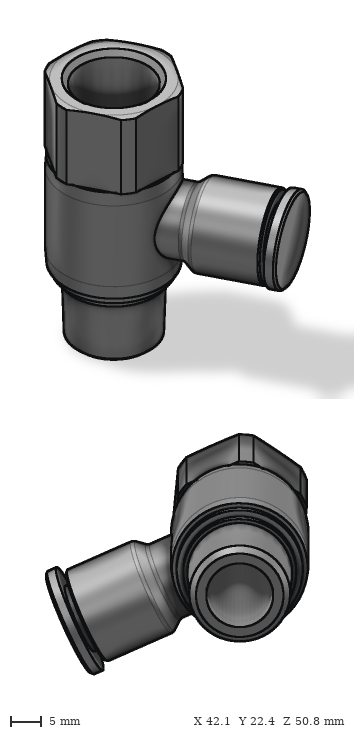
import cadquery as cq
import math

total_height = 50.8
total_length = 42.1
hex_height = 15.0
taper_band = 2.5
step_height = 1.4

hex_bottom = total_height - hex_height
body_bottom = 14.85
upper_step_bottom = body_bottom - step_height
lower_step_bottom = upper_step_bottom - step_height

hex_across_flats = 21.05
hex_corner_radius = 23.0 / 2
hex_top_radius = 10.45
hex_chamfer_drop = 0.3

body_radius = 22.4 / 2
body_end_radius = 11.0
upper_step_radius = 10.25
lower_step_radius = 9.2

thread_taper = 1 / 32
thread_top_radius = 8.55
thread_tip_radius = 7.1
thread_tip_height = 0.95
thread_bottom_radius = thread_top_radius - (lower_step_bottom - thread_tip_height) * thread_taper

socket_mouth_radius = 8.5
socket_top_radius = 7.45
socket_depth = 14.2
socket_chamfer = socket_mouth_radius - socket_top_radius
socket_bottom_radius = socket_top_radius - (socket_depth - socket_chamfer) * thread_taper
bore_radius = 5.45

branch_height = 25.3
branch_neck_radius = 6.55
branch_radius = 16.3 / 2
cone_start = 13.5
cone_end = 15.5
cone_fillet = 1.0
sleeve_end = 27.5
sleeve_edge_chamfer = 0.3

ring_radius = 5.85
flange_start = 28.65
flange_end = total_length - hex_corner_radius
flange_half_width = 9.3
flange_half_height = 8.05
flange_edge_chamfer = 0.4


def revolve_about_z(points):
    """Solid of revolution from (radius, height) points."""
    return cq.Workplane("XZ").polyline(points).close().revolve(360, (0, 0, 0), (0, 1, 0))


def make_hex_head():
    """Hexagon with flats facing +Y and -Y, its corners turned round and its top bevelled."""
    corner_diameter = hex_across_flats / math.cos(math.pi / 6)
    prism = cq.Workplane("XY").workplane(offset=hex_bottom).polygon(6, corner_diameter).extrude(hex_height)
    turned_envelope = revolve_about_z([
        (0, hex_bottom),
        (hex_corner_radius, hex_bottom),
        (hex_corner_radius, total_height - hex_chamfer_drop),
        (hex_top_radius, total_height),
        (0, total_height),
    ])
    return prism.intersect(turned_envelope)


def make_body():
    """Round body, its two steps and the male thread below."""
    return revolve_about_z([
        (0, 0),
        (thread_tip_radius, 0),
        (thread_bottom_radius, thread_tip_height),
        (thread_top_radius, lower_step_bottom),
        (lower_step_radius, lower_step_bottom),
        (lower_step_radius, upper_step_bottom),
        (upper_step_radius, upper_step_bottom),
        (upper_step_radius, body_bottom),
        (body_end_radius, body_bottom),
        (body_radius, body_bottom + taper_band),
        (body_radius, hex_bottom - taper_band),
        (body_end_radius, hex_bottom),
        (0, hex_bottom),
    ])


def make_branch():
    """Neck, flared sleeve, release ring and oval flange along +X."""
    sleeve = (
        cq.Workplane("XZ", origin=(0, 0, branch_height))
        .polyline([
            (0, 0),
            (0, branch_neck_radius),
            (cone_start, branch_neck_radius),
            (cone_end, branch_radius),
            (sleeve_end, branch_radius),
            (sleeve_end, 0),
        ])
        .close()
        .revolve(360, (0, 0, 0), (1, 0, 0))
    )
    for edge_x in (cone_start, cone_end):
        cone_edge = cq.selectors.NearestToPointSelector((edge_x, 0, branch_height))
        sleeve = sleeve.edges(cone_edge).fillet(cone_fillet)
    sleeve = sleeve.faces(">X").chamfer(sleeve_edge_chamfer)
    ring = (
        cq.Workplane("YZ", origin=(sleeve_end, 0, branch_height))
        .circle(ring_radius)
        .extrude(flange_start - sleeve_end)
    )
    flange = (
        cq.Workplane("YZ", origin=(flange_start, 0, branch_height))
        .ellipse(flange_half_width, flange_half_height)
        .extrude(flange_end - flange_start)
        .faces(">X")
        .chamfer(flange_edge_chamfer)
    )
    return sleeve.union(ring).union(flange)


def make_bore():
    """Chamfered, tapered socket opening into the through bore."""
    socket_bottom = total_height - socket_depth
    return revolve_about_z([
        (0, 0),
        (bore_radius, 0),
        (bore_radius, socket_bottom),
        (socket_bottom_radius, socket_bottom),
        (socket_top_radius, total_height - socket_chamfer),
        (socket_mouth_radius, total_height),
        (0, total_height),
    ])


result = make_body().union(make_hex_head()).union(make_branch()).cut(make_bore())